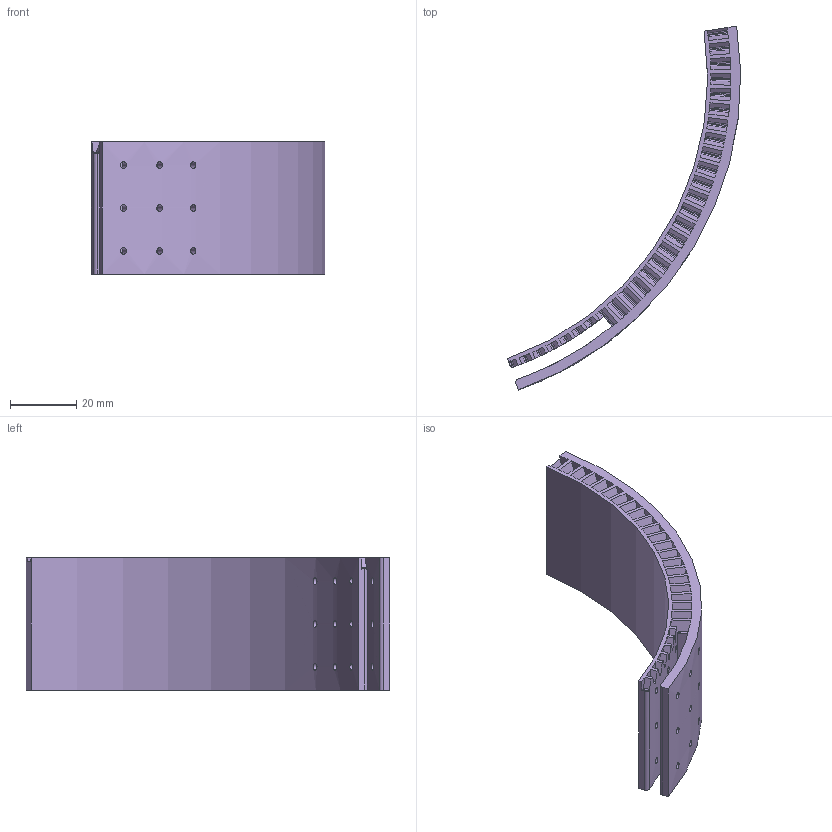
import cadquery as cq
import math

height = 40.0
inner_radius = 90.0
outer_radius = 100.0
start_angle = -71.0
end_angle = 9.0

leaf_thickness = 3.0
slot_sweep = 20.0
mouth_fillet = 1.0

teeth_per_turn = 128
rack_lead = 0.2
inner_rim = 1.0
outer_rim = 3.0
groove_depth = 3.5
groove_flank_angle = 20.0
groove_root_radius = 0.5
groove_top_width = 3.55
groove_width_radius = 94.0

hole_diameter = 2.0
hole_angles = (-67.0, -60.0, -53.0)
hole_spacing = 13.0
hole_rows = (-1, 0, 1)

slot_inner_radius = inner_radius + leaf_thickness
slot_outer_radius = outer_radius - leaf_thickness
slot_end_angle = start_angle + slot_sweep
groove_inner_radius = inner_radius + inner_rim
groove_outer_radius = outer_radius - outer_rim
groove_pitch = 360.0 / teeth_per_turn
rack_middle_angle = (start_angle + end_angle) / 2 - rack_lead
grooves_each_side = math.floor((end_angle - rack_middle_angle) / groove_pitch)
margin = 1.0


def polar(radius, angle):
    """Point in the XY plane at a radius and an angle in degrees."""
    turn = math.radians(angle)
    return (radius * math.cos(turn), radius * math.sin(turn))


def arc_sector(radius_in, radius_out, angle_from, angle_to, thickness):
    """Solid ring sector standing on the XY plane."""
    angle_mid = (angle_from + angle_to) / 2
    return (
        cq.Workplane("XY")
        .moveTo(*polar(radius_in, angle_from))
        .lineTo(*polar(radius_out, angle_from))
        .threePointArc(polar(radius_out, angle_mid), polar(radius_out, angle_to))
        .lineTo(*polar(radius_in, angle_to))
        .threePointArc(polar(radius_in, angle_mid), polar(radius_in, angle_from))
        .close()
        .extrude(thickness)
    )


def split_plate():
    """Plate with the slot cut in and the slot mouth rounded on both leaves."""
    plate = arc_sector(inner_radius, outer_radius, start_angle, end_angle, height)
    slot = arc_sector(
        slot_inner_radius, slot_outer_radius, start_angle - margin, slot_end_angle, height
    )
    plate = plate.cut(slot)
    for radius in (slot_inner_radius, slot_outer_radius):
        corner = cq.Vector(*polar(radius, start_angle), height / 2)
        plate = plate.edges(cq.selectors.NearestToPointSelector(corner)).fillet(mouth_fillet)
    return plate


def groove_section(radius):
    """V with rounded root corners and a narrow floor, its width growing with the radius."""
    flank = math.radians(groove_flank_angle)
    half_width = groove_top_width / 2 * radius / groove_width_radius
    floor_z = height - groove_depth
    sharp_corner_y = half_width - groove_depth * math.tan(flank)
    centre_y = sharp_corner_y - groove_root_radius * (1 - math.sin(flank)) / math.cos(flank)
    centre_z = floor_z + groove_root_radius
    tangent_y = centre_y + groove_root_radius * math.cos(flank)
    tangent_z = centre_z - groove_root_radius * math.sin(flank)
    bisector = (math.pi / 2 + flank) / 2
    arc_y = centre_y + groove_root_radius * math.sin(bisector)
    arc_z = centre_z - groove_root_radius * math.cos(bisector)
    open_y = half_width + margin * math.tan(flank)
    open_z = height + margin
    return (
        cq.Workplane("YZ", origin=(radius, 0, 0))
        .moveTo(-open_y, open_z)
        .lineTo(-tangent_y, tangent_z)
        .threePointArc((-arc_y, arc_z), (-centre_y, floor_z))
        .lineTo(centre_y, floor_z)
        .threePointArc((arc_y, arc_z), (tangent_y, tangent_z))
        .lineTo(open_y, open_z)
        .close()
        .val()
    )


def tooth_groove():
    """Cutter for one groove lying along +X, ended by the inner and outer rims."""
    sections = [
        groove_section(groove_inner_radius - margin),
        groove_section(groove_outer_radius + margin),
    ]
    wedge = cq.Workplane(cq.Solid.makeLoft(sections, True))
    band = arc_sector(
        groove_inner_radius, groove_outer_radius, -groove_pitch, groove_pitch, height + 2 * margin
    )
    return wedge.intersect(band)


def pin_hole(angle, level):
    """Cutter for one radial hole at an angle and a height."""
    direction = cq.Vector(*polar(1.0, angle), 0)
    start = direction * (inner_radius - margin) + cq.Vector(0, 0, level)
    length = outer_radius - inner_radius + 2 * margin
    return cq.Solid.makeCylinder(hole_diameter / 2, length, start, direction)


result = split_plate()

groove = tooth_groove()
for index in range(-grooves_each_side, grooves_each_side + 1):
    groove_angle = rack_middle_angle + index * groove_pitch
    result = result.cut(groove.rotate((0, 0, 0), (0, 0, 1), groove_angle))

for hole_angle in hole_angles:
    for row in hole_rows:
        level = height / 2 + row * hole_spacing
        result = result.cut(cq.Workplane(pin_hole(hole_angle, level)))